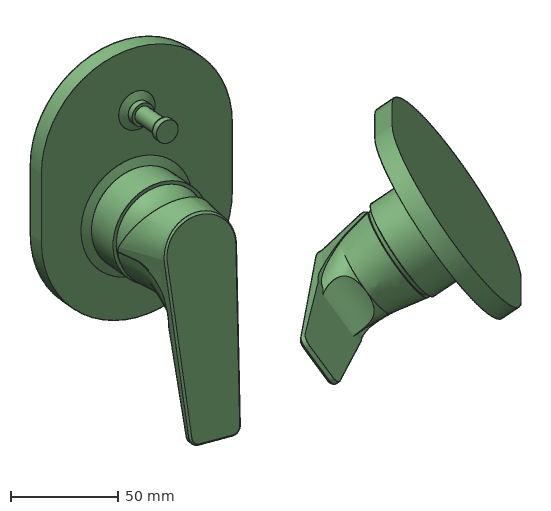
import cadquery as cq
import math

PLATE_THICKNESS = 10.0
PLATE_WIDTH = 105.0
PLATE_HEIGHT = 140.0
OVERALL_HEIGHT = 175.5

SKIRT_END = PLATE_THICKNESS + 2.0

PIN_Z = 37.2
PIN_SKIRT_RADIUS = 20.0 / 2
PIN_HEAD_RADIUS = 12.0 / 2
PIN_SHAFT_RADIUS = 9.0 / 2
PIN_COLLAR_END = 15.5
PIN_HEAD_START = 32.5
PIN_HEAD_BEVEL = 0.9
PIN_END = 37.0

SLEEVE_Z = -17.5
SLEEVE_RADIUS = 26.1
SLEEVE_SKIRT_RADIUS = 30.7
SLEEVE_END = 31.0
DOME_RADIUS = 25.1
DOME_EDGE_RADIUS = 24.4

HANDLE_START = SLEEVE_END + 2.3
HANDLE_RADIUS = 25.6
HANDLE_FRONT_RADIUS = 19.8
TAPER_END = 63.0
HANDLE_REACH = 80.7
HANDLE_BOTTOM = PLATE_HEIGHT / 2 - OVERALL_HEIGHT
HEEL_Z = -19.7
HUB_BEND_X = 51.8
HUB_HALF_WIDTH = 25.1
HUB_BEND_HALF_WIDTH = 21.2
HUB_FRONT_DEPTH = 70.2
BACK_TOP = (49.0, 7.5)
FRONT_TOP = (64.5, 6.5)
TIP_THICKNESS = 3.3
TIP_HALF_WIDTH = 13.9
TIP_CORNER_RADIUS = 5.0
FRONT_BEVEL = 1.0

SIDE_EDGE_Z = HEEL_Z - 0.5
SIDE_BEND = [(47.4, SIDE_EDGE_Z), (58.3, -26.0), (66.7, -47.4)]
HUB_BOTTOM_Z = SLEEVE_Z - HANDLE_RADIUS
HUB_BEND = [(HUB_BEND_X, HUB_BOTTOM_Z), (63.2, -46.7), (69.1, -57.9)]


def make_plate():
    return cq.Workplane("YZ").slot2D(PLATE_HEIGHT, PLATE_WIDTH, 90).extrude(PLATE_THICKNESS)


def make_pin():
    profile = [
        (0, 0),
        (0, PIN_SKIRT_RADIUS),
        (PLATE_THICKNESS, PIN_SKIRT_RADIUS),
        (SKIRT_END, PIN_HEAD_RADIUS),
        (PIN_COLLAR_END, PIN_HEAD_RADIUS),
        (PIN_COLLAR_END, PIN_SHAFT_RADIUS),
        (PIN_HEAD_START, PIN_SHAFT_RADIUS),
        (PIN_HEAD_START, PIN_HEAD_RADIUS - PIN_HEAD_BEVEL),
        (PIN_HEAD_START + PIN_HEAD_BEVEL, PIN_HEAD_RADIUS),
        (PIN_END, PIN_HEAD_RADIUS),
        (PIN_END, 0),
    ]
    outline = cq.Workplane("XZ").polyline(profile).close()
    return outline.revolve(360, (0, 0, 0), (1, 0, 0)).translate((0, 0, PIN_Z))


def make_sleeve():
    """Skirted sleeve closed by a dome that is slightly narrower than the sleeve."""
    dome_centre_x = SLEEVE_END - math.sqrt(DOME_RADIUS**2 - DOME_EDGE_RADIUS**2)
    dome_diagonal = DOME_RADIUS * math.sqrt(0.5)
    outline = (
        cq.Workplane("XZ")
        .lineTo(0, SLEEVE_SKIRT_RADIUS)
        .lineTo(PLATE_THICKNESS, SLEEVE_SKIRT_RADIUS)
        .lineTo(SKIRT_END, SLEEVE_RADIUS)
        .lineTo(SLEEVE_END, SLEEVE_RADIUS)
        .lineTo(SLEEVE_END, DOME_EDGE_RADIUS)
        .threePointArc(
            (dome_centre_x + dome_diagonal, dome_diagonal),
            (dome_centre_x + DOME_RADIUS, 0),
        )
        .close()
    )
    return outline.revolve(360, (0, 0, 0), (1, 0, 0)).translate((0, 0, SLEEVE_Z))


def handle_outline(plane, arch_z, radius):
    """Arch over a narrowing tail that reaches down to the lever tip."""
    return (
        plane.moveTo(-radius, arch_z)
        .threePointArc((0, arch_z + radius), (radius, arch_z))
        .lineTo(TIP_HALF_WIDTH, HANDLE_BOTTOM)
        .lineTo(-TIP_HALF_WIDTH, HANDLE_BOTTOM)
        .close()
    )


def make_handle_envelope():
    """Full width of the handle, tapering forwards and then constant along the lever."""
    front_arch_z = FRONT_TOP[1] - HANDLE_FRONT_RADIUS
    back = handle_outline(cq.Workplane("YZ", (HANDLE_START, 0, 0)), SLEEVE_Z, HANDLE_RADIUS)
    tapered = handle_outline(
        back.workplane(TAPER_END - HANDLE_START), front_arch_z, HANDLE_FRONT_RADIUS
    ).loft(ruled=True)
    lever = handle_outline(
        cq.Workplane("YZ", (TAPER_END, 0, 0)), front_arch_z, HANDLE_FRONT_RADIUS
    ).extrude(HANDLE_REACH - TAPER_END)
    lever = lever.edges("|X and <Z").fillet(TIP_CORNER_RADIUS)
    return tapered.union(lever)


def make_hub():
    """Round underside of the handle, narrowing in width and deepening into the lever."""
    straight = (
        cq.Workplane("YZ", (HANDLE_START, 0, SLEEVE_Z))
        .ellipse(HUB_HALF_WIDTH, HANDLE_RADIUS)
        .workplane(HUB_BEND_X - HANDLE_START)
        .ellipse(HUB_BEND_HALF_WIDTH, HANDLE_RADIUS)
        .loft()
    )
    bend = (
        cq.Workplane("YZ", (HUB_BEND_X, 0, SLEEVE_Z))
        .ellipse(HUB_BEND_HALF_WIDTH, HANDLE_RADIUS)
        .workplane(HANDLE_REACH - HUB_BEND_X)
        .ellipse(TIP_HALF_WIDTH, HUB_FRONT_DEPTH)
        .loft()
    )
    underside = (
        cq.Workplane("XY", (0, 0, SLEEVE_Z))
        .rect(2 * HANDLE_REACH, PLATE_WIDTH)
        .extrude(-OVERALL_HEIGHT)
    )
    return straight.union(bend).intersect(underside)


def side_slab(bend_start, bend_middle, bend_end):
    """Side profile across the width: a level hub that bends into the lever."""
    tip_back = (HANDLE_REACH - TIP_THICKNESS, HANDLE_BOTTOM)
    return (
        cq.Workplane("XZ")
        .moveTo(HANDLE_START, bend_start[1])
        .lineTo(HANDLE_START, HEEL_Z)
        .lineTo(*BACK_TOP)
        .lineTo(*FRONT_TOP)
        .lineTo(HANDLE_REACH, HANDLE_BOTTOM)
        .lineTo(*tip_back)
        .lineTo(*bend_end)
        .threePointArc(bend_middle, bend_start)
        .close()
        .extrude(PLATE_WIDTH / 2, both=True)
    )


def make_handle():
    shell_slab = side_slab(*SIDE_BEND)
    hub_slab = side_slab(*HUB_BEND)
    shell = make_handle_envelope().intersect(shell_slab)
    front_face = cq.selectors.NearestToPointSelector((HANDLE_REACH, 0, HANDLE_BOTTOM / 2))
    shell = shell.faces(front_face).chamfer(FRONT_BEVEL)
    return shell.union(make_hub().intersect(hub_slab))


result = (
    make_plate()
    .union(make_pin())
    .union(make_sleeve())
    .union(make_handle())
)